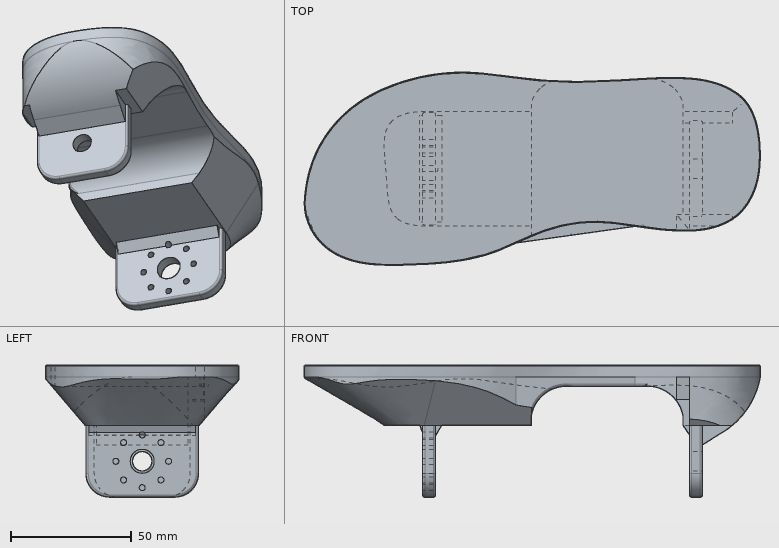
import cadquery as cq
import math


rim_depth = 5.0
body_depth = 25.0
total_height = 55.0
top_edge_chamfer = 0.4

half_length = 94.96
foot_points = [
    (-half_length, -12.4),
    (-92.4, -24.9),
    (-85.6, -33.2),
    (-76.4, -38.0),
    (-53.5, -40.2),
    (-35.2, -39.1),
    (-16.9, -35.2),
    (-5.5, -30.4),
    (8.1, -25.0),
    (28.0, -22.3),
    (42.0, -23.9),
    (62.0, -26.0),
    (74.7, -24.8),
    (85.5, -19.5),
    (93.0, -8.0),
    (half_length, 6.6),
    (88.4, 28.7),
    (74.7, 36.3),
    (60.9, 38.0),
    (42.6, 37.4),
    (19.7, 36.3),
    (-3.0, 37.6),
    (-28.0, 40.25),
    (-53.5, 36.5),
    (-76.4, 24.6),
    (-90.1, 6.8),
]

waist_front = (-7.0, -31.0)
waist_rear = (43.0, -24.0)
waist_inner_y = -15.0

slope_top_half_width = 40.8
slope_top_start_x = -40.0
slope_bottom_half_width = 23.8
slope_bottom_start_x = -45.0
slope_bottom_tip = (-60.8, -3.0)
slope_top_tip = (-95.4, -12.4)
slope_top_shoulders = [(-86.5, 14.6), (-86.4, -34.5)]

plate_thickness = 5.5
front_plate_width = 47.0
rear_plate_width = 40.0
plate_corner_radius = 10.0
plate_edge_fillet = 1.0
front_plate_x = -45.75
rear_plate_x = 65.4
rear_plate_back_x = rear_plate_x + plate_thickness
front_plate_top = -23.8
axis_z = -40.0
front_bore_diameter = 10.0
rear_bore_diameter = 8.0
bolt_circle_radius = 11.0
bolt_hole_diameter = 2.5
bolt_count = 8

arch_front_x = -0.4
arch_spring_z = -21.0
arch_roof_z = -8.9
arch_roof_front_x = 16.0
arch_roof_rear_x = 46.0
arch_rear_x = 62.7
arch_edge_fillet = 1.0

heel_mid = (90.2, -17.2)
heel_low = (77.5, -29.0)
web_foot_z = -33.2
web_toe_z = -29.0
web_rear_x = 84.0
web_half_width = rear_plate_width / 2 - plate_edge_fillet

relief_start_x = 60.0
relief_step_z = -14.2
relief_mouth_y = 25.5

flare_half_width = 22.2
front_flare = (1.2, 3.0)
rear_flare = (2.6, 4.3)

overshoot = 20.0


def foot_prism(top_z, depth):
    outline = cq.Workplane("XY").workplane(offset=top_z).spline(foot_points, periodic=True).close()
    return outline.extrude(-depth)


def slope_outline(plane, start_x, half_width, front_curve):
    rear_x = half_length + overshoot
    return (
        plane.moveTo(rear_x, half_width)
        .lineTo(start_x, half_width)
        .spline(front_curve + [(start_x, -half_width)], tangents=[(-1, 0), (1, 0)], includeCurrent=True)
        .lineTo(rear_x, -half_width)
        .close()
    )


def sloping_underside():
    shoulder_upper, shoulder_lower = slope_top_shoulders
    top_curve = [shoulder_upper, slope_top_tip, shoulder_lower]
    top_plane = cq.Workplane("XY").workplane(offset=-rim_depth)
    top = slope_outline(top_plane, slope_top_start_x, slope_top_half_width, top_curve)
    bottom_plane = top.workplane(offset=rim_depth - body_depth)
    bottom = slope_outline(
        bottom_plane, slope_bottom_start_x, slope_bottom_half_width, [slope_bottom_tip]
    )
    return bottom.loft(ruled=True)


def lower_body():
    waist = (
        cq.Workplane("XY")
        .workplane(offset=-rim_depth)
        .polyline(
            [
                waist_front,
                waist_rear,
                (waist_rear[0], waist_inner_y),
                (waist_front[0], waist_inner_y),
            ]
        )
        .close()
        .extrude(rim_depth - body_depth)
    )
    walls = foot_prism(-rim_depth, body_depth - rim_depth).union(waist)
    return walls.intersect(sloping_underside())


def xz_prism(profile, half_width):
    return profile.extrude(half_width, both=True)


def arch_cutter():
    corner = math.sqrt(0.5)
    front_run = arch_roof_front_x - arch_front_x
    rear_run = arch_rear_x - arch_roof_rear_x
    rise = arch_roof_z - arch_spring_z
    floor_z = -body_depth - overshoot
    profile = (
        cq.Workplane("XZ")
        .moveTo(arch_front_x, floor_z)
        .lineTo(arch_front_x, arch_spring_z)
        .threePointArc(
            (arch_roof_front_x - front_run * corner, arch_spring_z + rise * corner),
            (arch_roof_front_x, arch_roof_z),
        )
        .lineTo(arch_roof_rear_x, arch_roof_z)
        .threePointArc(
            (arch_roof_rear_x + rear_run * corner, arch_spring_z + rise * corner),
            (arch_rear_x, arch_spring_z),
        )
        .lineTo(arch_rear_x, floor_z)
        .close()
    )
    return xz_prism(profile, half_length)


def round_arch_edge(part):
    edge_box = cq.selectors.BoxSelector(
        (arch_front_x, -half_length, arch_spring_z + arch_edge_fillet),
        (arch_roof_rear_x, waist_inner_y, arch_roof_z + arch_edge_fillet),
        boundingbox=False,
    )
    return part.edges(edge_box).edges("not |Z").edges("not |Y").fillet(arch_edge_fillet)


def heel_cutter():
    profile = (
        cq.Workplane("XZ")
        .moveTo(half_length, -rim_depth)
        .threePointArc(heel_mid, heel_low)
        .lineTo(heel_low[0], -total_height)
        .lineTo(half_length + overshoot, -total_height)
        .lineTo(half_length + overshoot, -rim_depth)
        .close()
    )
    return xz_prism(profile, half_length)


def relief_cutter():
    outer_y = -half_length
    upper = (
        cq.Workplane("XY")
        .workplane(offset=-rim_depth)
        .polyline(
            [
                (relief_start_x, outer_y),
                (rear_plate_x, outer_y),
                (rear_plate_x, -relief_mouth_y),
                (relief_start_x, -web_half_width),
            ]
        )
        .close()
        .extrude(relief_step_z + rim_depth)
    )
    lower_height = relief_step_z + body_depth
    lower = cq.Workplane("XY").box(
        rear_plate_x - relief_start_x, half_length - web_half_width, lower_height, centered=False
    ).translate((relief_start_x, outer_y, -body_depth))
    return upper.union(lower)


def rear_web():
    profile = (
        cq.Workplane("XZ")
        .moveTo(arch_rear_x, arch_spring_z)
        .lineTo(arch_rear_x, -body_depth)
        .lineTo(rear_plate_x, web_toe_z)
        .lineTo(rear_plate_back_x, web_foot_z)
        .lineTo(heel_low[0], heel_low[1])
        .lineTo(web_rear_x, heel_low[1])
        .lineTo(web_rear_x, arch_spring_z)
        .close()
    )
    return xz_prism(profile, web_half_width)


def front_flares():
    back_x = front_plate_x + plate_thickness
    profile = (
        cq.Workplane("XZ")
        .moveTo(front_plate_x - front_flare[0], -body_depth)
        .lineTo(front_plate_x, -body_depth - front_flare[1])
        .lineTo(back_x, -body_depth - rear_flare[1])
        .lineTo(back_x + rear_flare[0], -body_depth)
        .close()
    )
    return xz_prism(profile, flare_half_width)


def bracket_plate(front_x, width, top_z):
    height = top_z + total_height
    return (
        cq.Workplane("XY")
        .box(plate_thickness, width, height, centered=(False, True, False))
        .translate((front_x, 0, -total_height))
        .edges("|X and <Z")
        .fillet(plate_corner_radius)
        .faces("<Z")
        .edges("|Y")
        .fillet(plate_edge_fillet)
    )


def bore(front_x, diameter, y=0.0, z=axis_z):
    margin = plate_thickness
    return (
        cq.Workplane("YZ")
        .workplane(offset=front_x - margin)
        .center(y, z)
        .circle(diameter / 2)
        .extrude(plate_thickness + 2 * margin)
    )


def bolt_holes(part):
    for index in range(bolt_count):
        angle = 2 * math.pi * index / bolt_count
        y = bolt_circle_radius * math.cos(angle)
        z = axis_z + bolt_circle_radius * math.sin(angle)
        part = part.cut(bore(front_plate_x, bolt_hole_diameter, y, z))
    return part


rim = foot_prism(0, rim_depth).faces(">Z").edges().chamfer(top_edge_chamfer)
body = rim.union(lower_body())
body = round_arch_edge(body.cut(arch_cutter())).cut(relief_cutter())
body = body.union(rear_web().intersect(foot_prism(0, total_height))).cut(heel_cutter())
body = body.union(front_flares())
body = body.union(bracket_plate(front_plate_x, front_plate_width, front_plate_top))
body = body.union(bracket_plate(rear_plate_x, rear_plate_width, -rim_depth))
body = body.cut(bore(front_plate_x, front_bore_diameter))
body = body.cut(bore(rear_plate_x, rear_bore_diameter))
result = bolt_holes(body)